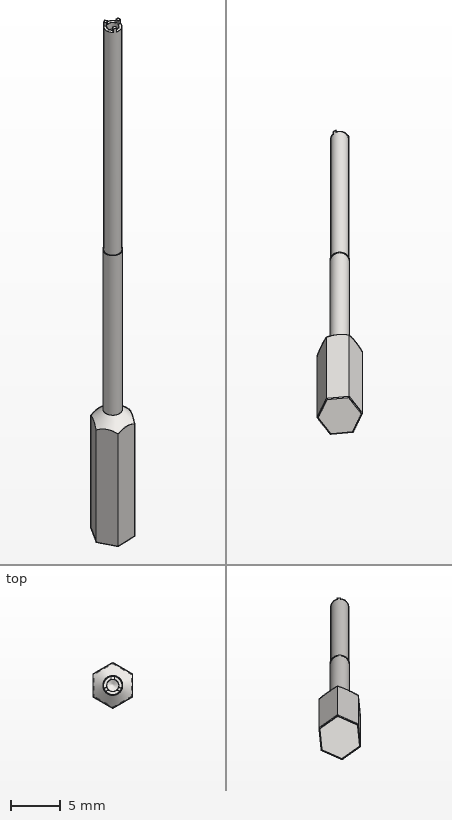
import cadquery as cq
import math

total_length = 67.5
across_flats = 4.0
corner_angle = 30.0
across_corners = across_flats / math.cos(math.radians(corner_angle))
cone_height = 1.4
shank_end = 16.4
bottom_chamfer = 0.1

rod_diameter = across_flats / 2
tip_step = 0.075
tube_diameter = rod_diameter - 2 * tip_step
tube_start = 37.5

bore_diameter = 1.2
bore_depth = 1.35
drill_point_angle = 118.0
tooth_count = 3
tooth_height = 0.5
tooth_width = 0.35
first_tooth_angle = 90.0

tube_end = total_length - tooth_height


def make_shank():
    """Hexagonal shank, corners on Y, turned to a cone above and bevelled below."""
    hexagon = (
        cq.Workplane("XY")
        .polygon(6, across_corners)
        .extrude(shank_end)
        .rotate((0, 0, 0), (0, 0, 1), corner_angle)
        .faces("<Z")
        .chamfer(bottom_chamfer)
    )
    corner_radius = across_corners / 2
    rod_radius = rod_diameter / 2
    envelope = (
        cq.Workplane("XZ")
        .moveTo(0, 0)
        .lineTo(corner_radius, 0)
        .lineTo(corner_radius, shank_end - cone_height)
        .lineTo(rod_radius, shank_end)
        .lineTo(0, shank_end)
        .close()
        .revolve(360, (0, 0, 0), (0, 1, 0))
    )
    return hexagon.intersect(envelope)


def make_cylinder(diameter, bottom, top):
    """Upright cylinder between two heights."""
    return cq.Workplane("XY").workplane(offset=bottom).circle(diameter / 2).extrude(top - bottom)


def make_teeth():
    """Radial teeth standing on the tube end, flush with its outside."""
    crown = make_cylinder(tube_diameter, tube_end, total_length)
    bar = (
        cq.Workplane("XY")
        .workplane(offset=tube_end)
        .center(tube_diameter / 2, 0)
        .rect(tube_diameter, tooth_width)
        .extrude(tooth_height)
    )
    bars = cq.Workplane("XY")
    for index in range(tooth_count):
        angle = first_tooth_angle + index * 360 / tooth_count
        bars = bars.union(bar.rotate((0, 0, 0), (0, 0, 1), angle))
    return crown.intersect(bars)


def make_bore():
    """Blind hole from the tip with a drill-point bottom."""
    radius = bore_diameter / 2
    floor = total_length - bore_depth
    point_depth = radius / math.tan(math.radians(drill_point_angle / 2))
    return (
        cq.Workplane("XZ")
        .moveTo(0, total_length)
        .lineTo(radius, total_length)
        .lineTo(radius, floor)
        .lineTo(0, floor - point_depth)
        .close()
        .revolve(360, (0, 0, 0), (0, 1, 0))
    )


rod = make_cylinder(rod_diameter, shank_end, tube_start)
tube = make_cylinder(tube_diameter, tube_start, tube_end)
result = make_shank().union(rod).union(tube).union(make_teeth()).cut(make_bore())